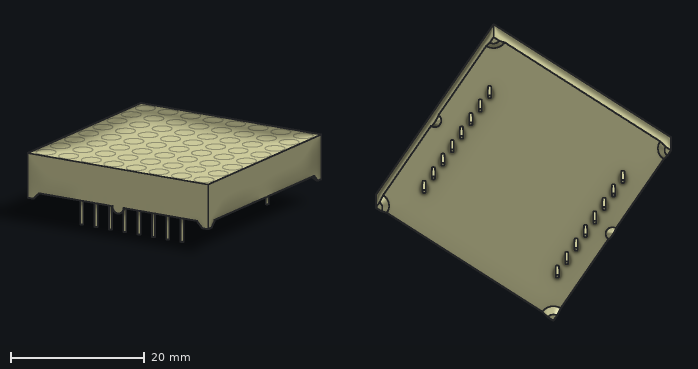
import cadquery as cq

side = 32.0
body_height = 6.0

foot_height = 1.0
corner_foot_base_radius = 2.0
corner_foot_tip_radius = 1.0
middle_foot_radius = foot_height

pins_per_row = 8
pin_pitch = 2.54
pin_row_spacing = 24.0
pin_diameter = 0.5
pin_length = 5.0

windows_per_side = 8
window_pitch = side / windows_per_side
window_diameter = 3.0
window_depth = 1.0

half_side = side / 2


def make_housing():
    """Square block standing on Z = 0."""
    return cq.Workplane("XY").box(side, side, body_height, centered=(True, True, False))


def make_corner_feet():
    """Quarter cones tapering downward, one centred on each bottom corner."""
    cone = cq.Solid.makeCone(
        corner_foot_base_radius,
        corner_foot_tip_radius,
        foot_height,
        dir=cq.Vector(0, 0, -1),
    )
    corners = cq.Workplane("XY").rect(side, side, forConstruction=True).vertices()
    return corners.eachpoint(lambda place: cone.moved(place), combine=False)


def make_middle_feet():
    """Half balls, centred on the bottom front and back edges."""
    ball = cq.Workplane("XY").sphere(middle_foot_radius)
    return ball.translate((0, -half_side, 0)).add(ball.translate((0, half_side, 0)))


def make_feet():
    """All feet, trimmed to the square space directly below the housing."""
    space_below = cq.Workplane("XY").box(side, side, foot_height, centered=(True, True, False))
    space_below = space_below.translate((0, 0, -foot_height))
    corner_feet = space_below.intersect(make_corner_feet().combine())
    middle_feet = space_below.intersect(make_middle_feet().combine())
    return corner_feet.union(middle_feet)


def make_pins():
    """Two rows of round pins hanging from the bottom face."""
    return (
        cq.Workplane("XY")
        .rarray(pin_pitch, pin_row_spacing, pins_per_row, 2)
        .circle(pin_diameter / 2)
        .extrude(-pin_length)
    )


def make_windows():
    """Grid of round windows set into the housing, flush with its top."""
    return (
        cq.Workplane("XY")
        .workplane(offset=body_height)
        .rarray(window_pitch, window_pitch, windows_per_side, windows_per_side)
        .circle(window_diameter / 2)
        .extrude(-window_depth)
    )


housing = make_housing().union(make_feet()).union(make_pins())

result = housing.union(make_windows(), clean=False)